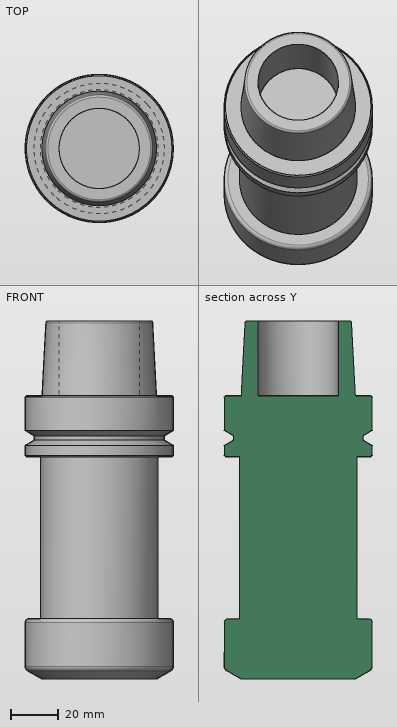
import cadquery as cq
import math

total_height = 152.0
taper_height = 31.8
flange_height = 26.0
nut_height = 25.7
flange_top = total_height - taper_height
flange_bottom = flange_top - flange_height

outer_radius = 63.0 / 2
body_radius = 50.0 / 2
taper_base_radius = 24.3
taper_top_radius = 22.6
nut_face_radius = 24.3

groove_floor_radius = 27.7
groove_upper_edge = flange_top - 14.7
groove_side_height = 2.3
groove_floor_height = 1.8

bore_radius = 17.0
bore_depth = taper_height

taper_tip_fillet = 0.9
flange_chamfer = 0.6
nut_top_fillet = 1.7
nut_lower_fillet = 2.3
nut_cone_angle = 30.0


def ring(radius, bottom, top):
    """Solid cylinder on the Z axis between two heights."""
    return cq.Workplane("XY").workplane(offset=bottom).circle(radius).extrude(top - bottom)


def revolve_profile(points):
    """Revolve a closed (radius, height) outline about the Z axis."""
    return cq.Workplane("XZ").polyline(points).close().revolve(360, (0, 0, 0), (0, 1, 0))


def make_taper():
    taper = revolve_profile([
        (0, flange_top),
        (taper_base_radius, flange_top),
        (taper_top_radius, total_height),
        (0, total_height),
    ])
    return taper.faces(">Z").edges().fillet(taper_tip_fillet)


def make_flange():
    flange = ring(outer_radius, flange_bottom, flange_top)
    flange = flange.faces("<Z or >Z").edges().chamfer(flange_chamfer)
    floor_top = groove_upper_edge - groove_side_height
    floor_bottom = floor_top - groove_floor_height
    groove = revolve_profile([
        (outer_radius, groove_upper_edge),
        (groove_floor_radius, floor_top),
        (groove_floor_radius, floor_bottom),
        (outer_radius, floor_bottom - groove_side_height),
    ])
    return flange.cut(groove)


def make_nut():
    cone_height = (outer_radius - nut_face_radius) * math.tan(math.radians(nut_cone_angle))
    nut = revolve_profile([
        (0, 0),
        (nut_face_radius, 0),
        (outer_radius, cone_height),
        (outer_radius, nut_height),
        (0, nut_height),
    ])
    nut = nut.faces(">Z").edges().fillet(nut_top_fillet)
    cone_rim = cq.selectors.NearestToPointSelector((0, 0, cone_height))
    return nut.edges("%CIRCLE").edges(cone_rim).fillet(nut_lower_fillet)


body = ring(body_radius, nut_height, flange_bottom)
bore = ring(bore_radius, total_height - bore_depth, total_height)
result = make_nut().union(body).union(make_flange()).union(make_taper()).cut(bore)